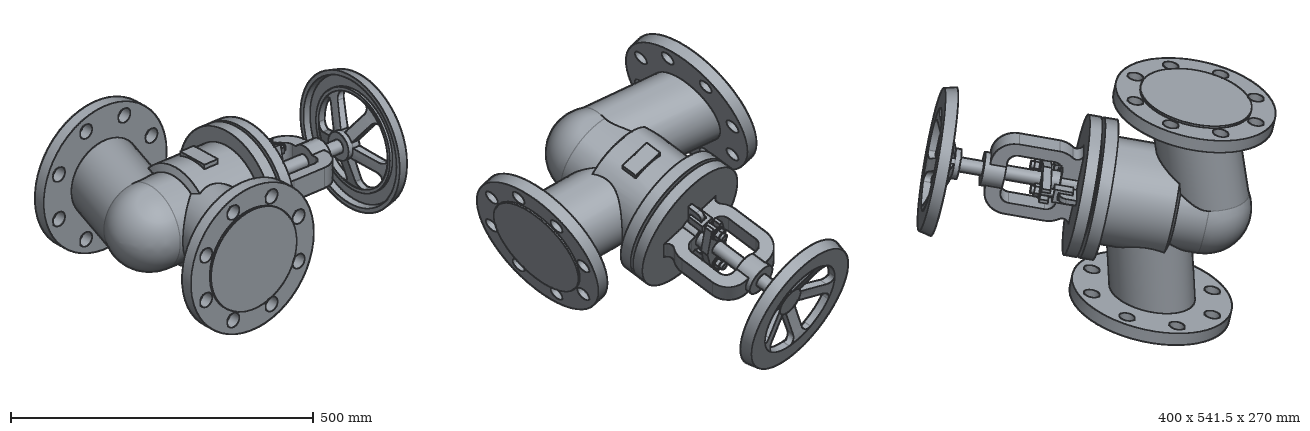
import cadquery as cq
import math


face_to_face = 400.0
overall_depth = 541.5

flange_diameter = 270.0
flange_thickness = 23.0
raised_face_diameter = 188.0
raised_face_height = 4.0
bolt_circle_diameter = 220.0
bolt_hole_diameter = 26.5
bolt_count = 8

pipe_radius = 70.5
inlet_angle = 19.0
outlet_angle = 14.0

ball_radius = 77.0
ball_y = -54.5
body_radius = 90.5
body_bottom_y = -4.0
body_chamfer_height = 5.5
pad_width = 60.5
pad_bottom_y = 39.5
pad_length = 30.0
pad_top_z = 93.5

cover_flange_radius = 118.0
body_flange_bottom_y = 114.5
body_flange_thickness = 22.0
joint_radius = 86.5
joint_gap = 5.5
bonnet_flange_thickness = 20.5

yoke_half_width = 66.5
yoke_top_y = 311.5
yoke_depth = 39.0
yoke_corner_radius = 40.0
yoke_waist_y = 203.5
notch_radius = 11.5
notch_height = 11.0
window_half_width = 45.0
window_bottom_y = 191.0
window_top_y = 284.5
window_corner_radius = 16.0
yoke_hub_radius = 28.0
yoke_hub_top_y = 320.5

stem_diameter = 24.5
stuffing_box_radius = 26.5
gland_radius = 18.0
gland_plate_bottom_y = 208.0
gland_plate_thickness = 14.5
gland_plate_half_length = 59.0
gland_plate_half_width = 23.5
gland_plate_end_half_width = 13.0
gland_plate_slot_width = 14.0

gland_bolt_z = 43.0
gland_bolt_radius = 6.5
gland_bolt_top_y = 239.5
lug_half_span = 64.5
lug_width = 9.0
lug_corner_radius = 11.0
fork_bottom_y = 169.5
fork_top_y = 201.0
fork_width = 24.0
fork_depth = 18.5
fork_slot_width = 13.0
fork_slot_top_y = 193.5
washer_radius = 12.5
washer_thickness = 2.5
nut_across_corners = 22.0
nut_height = 8.0

wheel_radius = 125.0
wheel_back_radius = 120.0
wheel_height = 20.5
rim_lip_radius = 117.0
rim_floor_radius = 114.5
rim_floor_depth = 12.0
inner_ring_outer_radius = 93.0
inner_ring_radius = 86.5
inner_ring_depth = 6.5
wheel_hub_radius = 25.5
wheel_hub_bottom_drop = 46.0
wheel_hub_height = 25.0
spoke_count = 5
spoke_width = 21.5
spoke_root_drop = 36.5
spoke_tip_drop = 13.0
spoke_fillet = 12.0

bonnet_bottom_y = body_flange_bottom_y + body_flange_thickness + joint_gap
bonnet_top_y = bonnet_bottom_y + bonnet_flange_thickness
wheel_top_y = overall_depth - flange_diameter / 2
wheel_bottom_y = wheel_top_y - wheel_height
wheel_hub_bottom_y = wheel_top_y - wheel_hub_bottom_drop
wheel_hub_top_y = wheel_hub_bottom_y + wheel_hub_height
gland_plate_top_y = gland_plate_bottom_y + gland_plate_thickness

flange_outer_x = face_to_face / 2 - raised_face_height
flange_inner_x = flange_outer_x - flange_thickness


def stem_cylinder(radius, bottom_y, top_y, z=0):
    """Round bar parallel to the stem."""
    return (
        cq.Workplane("XZ", origin=(0, bottom_y, z))
        .circle(radius)
        .extrude(bottom_y - top_y)
    )


def upright_box(width, bottom_y, top_y, low_z, high_z):
    """Block centred on the stem axis in X."""
    return cq.Workplane("XY").box(
        width, top_y - bottom_y, high_z - low_z, centered=(True, False, False)
    ).translate((0, bottom_y, low_z))


def pipe_flange(side):
    """Drilled flange with a raised face; side is -1 for the inlet, +1 for the outlet."""
    flange = (
        cq.Workplane("YZ", origin=(side * flange_inner_x, 0, 0))
        .circle(flange_diameter / 2)
        .extrude(side * flange_thickness)
    )
    raised_face = (
        cq.Workplane("YZ", origin=(side * flange_outer_x, 0, 0))
        .circle(raised_face_diameter / 2)
        .extrude(side * raised_face_height)
    )
    holes = (
        cq.Workplane("YZ", origin=(side * flange_inner_x, 0, 0))
        .polarArray(bolt_circle_diameter / 2, 180 / bolt_count, 360, bolt_count)
        .circle(bolt_hole_diameter / 2)
        .extrude(side * flange_thickness)
    )
    return flange.union(raised_face).cut(holes)


def inclined_pipe(side, angle):
    """Pipe from its flange to the stem axis, climbing towards +Y for a positive angle."""
    slope = math.radians(angle)
    start_x = flange_inner_x + pipe_radius
    start = cq.Vector(side * start_x, -pipe_radius * math.tan(slope), 0)
    direction = cq.Vector(-side * math.cos(slope), math.sin(slope), 0)
    pipe = cq.Solid.makeCylinder(pipe_radius, start_x / math.cos(slope), start, direction)
    span = cq.Workplane("XY").box(
        2 * flange_inner_x + flange_thickness, overall_depth, flange_diameter
    )
    return cq.Workplane(pipe).intersect(span)


def body():
    """Turned body with a ball bottom, and a rectangular badge pad on its +Z side."""
    reach = ball_radius * math.sqrt(0.5)
    chamber = (
        cq.Workplane("XY")
        .moveTo(0, ball_y - ball_radius)
        .threePointArc((reach, ball_y - reach), (ball_radius, ball_y))
        .lineTo(ball_radius, body_bottom_y)
        .lineTo(body_radius, body_bottom_y + body_chamfer_height)
        .lineTo(body_radius, body_flange_bottom_y)
        .lineTo(0, body_flange_bottom_y)
        .close()
        .revolve(360, (0, 0, 0), (0, 1, 0))
    )
    pad = upright_box(pad_width, pad_bottom_y, pad_bottom_y + pad_length, 0, pad_top_z)
    return chamber.union(pad)


def cover_flanges():
    body_flange_top_y = body_flange_bottom_y + body_flange_thickness
    body_flange = stem_cylinder(cover_flange_radius, body_flange_bottom_y, body_flange_top_y)
    joint = stem_cylinder(joint_radius, body_flange_top_y, bonnet_bottom_y)
    bonnet_flange = stem_cylinder(cover_flange_radius, bonnet_bottom_y, bonnet_top_y)
    return body_flange.union(joint).union(bonnet_flange)


def yoke():
    corner_x = yoke_half_width - yoke_corner_radius
    corner_y = yoke_top_y - yoke_corner_radius
    notch_y = bonnet_top_y + notch_height
    centre_distance = yoke_corner_radius + notch_radius
    drop = yoke_waist_y - notch_y
    notch_x = corner_x + math.sqrt(centre_distance**2 - drop**2)
    touch_ratio = yoke_corner_radius / centre_distance
    touch_x = corner_x + touch_ratio * (notch_x - corner_x)
    touch_y = yoke_waist_y - touch_ratio * drop
    foot_x = notch_x - math.sqrt(notch_radius**2 - notch_height**2)

    def round_corner_top(side):
        reach = yoke_corner_radius * math.sqrt(0.5)
        return side * (corner_x + reach), corner_y + reach

    def shoulder_middle(side):
        half_turn = math.atan2(drop, notch_x - corner_x) / 2
        return (
            side * (corner_x + yoke_corner_radius * math.cos(half_turn)),
            yoke_waist_y - yoke_corner_radius * math.sin(half_turn),
        )

    frame = (
        cq.Workplane("XY", origin=(0, 0, -yoke_depth / 2))
        .moveTo(-foot_x, bonnet_top_y)
        .threePointArc((notch_radius - notch_x, notch_y), (-touch_x, touch_y))
        .threePointArc(shoulder_middle(-1), (-yoke_half_width, yoke_waist_y))
        .lineTo(-yoke_half_width, corner_y)
        .threePointArc(round_corner_top(-1), (-corner_x, yoke_top_y))
        .lineTo(corner_x, yoke_top_y)
        .threePointArc(round_corner_top(1), (yoke_half_width, corner_y))
        .lineTo(yoke_half_width, yoke_waist_y)
        .threePointArc(shoulder_middle(1), (touch_x, touch_y))
        .threePointArc((notch_x - notch_radius, notch_y), (foot_x, bonnet_top_y))
        .close()
        .extrude(yoke_depth)
    )
    window = (
        upright_box(2 * window_half_width, window_bottom_y, window_top_y, -yoke_depth / 2, yoke_depth / 2)
        .edges("|Z")
        .fillet(window_corner_radius)
    )
    hub = stem_cylinder(yoke_hub_radius, window_top_y, yoke_hub_top_y)
    return frame.cut(window).union(hub)


def packing_gland():
    stuffing_box = stem_cylinder(stuffing_box_radius, bonnet_top_y, window_bottom_y)
    gland = stem_cylinder(gland_radius, window_bottom_y, gland_plate_bottom_y)
    plate = (
        cq.Workplane("XZ", origin=(0, gland_plate_bottom_y, 0))
        .polyline([
            (-gland_plate_half_width, 0),
            (-gland_plate_end_half_width, gland_plate_half_length),
            (gland_plate_end_half_width, gland_plate_half_length),
            (gland_plate_half_width, 0),
            (gland_plate_end_half_width, -gland_plate_half_length),
            (-gland_plate_end_half_width, -gland_plate_half_length),
        ])
        .close()
        .extrude(-gland_plate_thickness)
    )
    slot_radius = gland_plate_slot_width / 2
    for end in (-1, 1):
        slot_root = stem_cylinder(slot_radius, gland_plate_bottom_y, gland_plate_top_y, end * gland_bolt_z)
        low_z, high_z = sorted((end * gland_bolt_z, end * gland_plate_half_length))
        slot_mouth = upright_box(
            gland_plate_slot_width, gland_plate_bottom_y, gland_plate_top_y, low_z, high_z
        )
        plate = plate.cut(slot_root).cut(slot_mouth)
    lugs = (
        upright_box(lug_width, bonnet_top_y, window_bottom_y, -lug_half_span, lug_half_span)
        .edges("|X and >Y")
        .fillet(lug_corner_radius)
    )
    return stuffing_box.union(gland).union(plate).union(lugs)


def gland_bolt(z):
    """Forked bolt straddling a lug, with its washer and nut above the gland plate."""
    low_z = z - fork_depth / 2
    high_z = z + fork_depth / 2
    slot = upright_box(fork_slot_width, fork_bottom_y, fork_slot_top_y, low_z, high_z)
    fork = upright_box(fork_width, fork_bottom_y, fork_top_y, low_z, high_z).cut(slot)
    shank = stem_cylinder(gland_bolt_radius, fork_top_y, gland_bolt_top_y, z)
    nut_bottom_y = gland_plate_top_y + washer_thickness
    washer = stem_cylinder(washer_radius, gland_plate_top_y, nut_bottom_y, z)
    nut = (
        cq.Workplane("XZ", origin=(0, nut_bottom_y, z))
        .transformed(rotate=(0, 0, 90))
        .polygon(6, nut_across_corners)
        .extrude(-nut_height)
    )
    return fork.union(shank).union(washer).union(nut)


def wheel_rim():
    floor_y = wheel_bottom_y + rim_floor_depth
    ring_y = wheel_bottom_y + inner_ring_depth
    return (
        cq.Workplane("XY")
        .polyline([
            (inner_ring_radius, wheel_top_y),
            (wheel_back_radius, wheel_top_y),
            (wheel_radius, wheel_bottom_y),
            (rim_lip_radius, wheel_bottom_y),
            (rim_floor_radius, floor_y),
            (inner_ring_outer_radius, floor_y),
            (inner_ring_outer_radius, ring_y),
            (inner_ring_radius, ring_y),
        ])
        .close()
        .revolve(360, (0, 0, 0), (0, 1, 0))
    )


def wheel_openings():
    """Gaps between the spokes, rounded where they meet the rim."""
    gaps = stem_cylinder(inner_ring_radius, wheel_hub_bottom_y, wheel_top_y).cut(
        stem_cylinder(wheel_hub_radius, wheel_hub_bottom_y, wheel_top_y)
    )
    for index in range(spoke_count):
        spoke = (
            upright_box(spoke_width, wheel_hub_bottom_y, wheel_top_y, -wheel_radius, 0)
            .rotate((0, 0, 0), (0, 1, 0), index * 360 / spoke_count)
        )
        gaps = gaps.cut(spoke)
    mid_radius = (inner_ring_radius + wheel_hub_radius) / 2
    return (
        gaps.edges("|Y")
        .filter(lambda edge: math.hypot(edge.Center().x, edge.Center().z) > mid_radius)
        .fillet(spoke_fillet)
    )


def handwheel():
    dish = (
        cq.Workplane("XY")
        .polyline([
            (0, wheel_hub_bottom_y),
            (wheel_hub_radius, wheel_hub_bottom_y),
            (wheel_hub_radius, wheel_top_y - spoke_root_drop),
            (inner_ring_radius, wheel_top_y - spoke_tip_drop),
            (inner_ring_radius, wheel_top_y),
            (wheel_hub_radius, wheel_hub_top_y),
            (0, wheel_hub_top_y),
        ])
        .close()
        .revolve(360, (0, 0, 0), (0, 1, 0))
    )
    return wheel_rim().union(dish.cut(wheel_openings()))


result = body().union(cover_flanges())

for side, angle in ((-1, -inlet_angle), (1, outlet_angle)):
    result = result.union(inclined_pipe(side, angle)).union(pipe_flange(side))

result = result.union(yoke()).union(packing_gland())
for bolt_z in (-gland_bolt_z, gland_bolt_z):
    result = result.union(gland_bolt(bolt_z))

stem = stem_cylinder(stem_diameter / 2, bonnet_top_y, wheel_hub_bottom_y)
result = result.union(stem).union(handwheel())